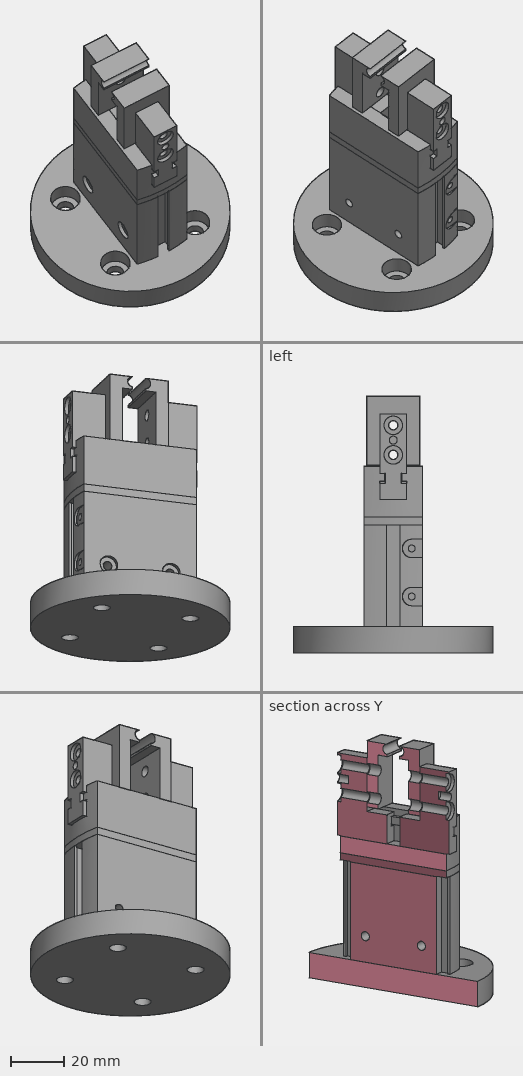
import cadquery as cq

total_height = 96.5
flange_thickness = 10.0
housing_top = 48.2
spacer_top = 51.05
guide_top = 70.2

flange_diameter = 75.0
flange_hole_spacing = 35.3
flange_hole_diameter = 6.4
flange_bore_diameter = 11.0
flange_bore_depth = 6.5

body_depth = 22.0
body_half_width = 22.5
body_side_bulge = 1.2

sensor_groove_mouth = 4.9
sensor_groove_width = 6.85
sensor_groove_lip = 1.1
sensor_groove_depth = 4.4
cross_hole_spacing = 24.9
cross_hole_height = 20.1
port_heights = (21.2, 39.3)
port_offset = 6.9
port_seat_diameter = 6.9
port_hole_diameter = 2.6
port_hole_depth = 4.8

screw_hole_diameter = 3.4
screw_bore_diameter = 6.9
screw_bore_depth = 1.4

jaw_outer_x = 24.9
jaw_inner_x = 2.8
jaw_width = 10.0
jaw_bottom = 57.6
jaw_top = 89.8
jaw_shelf_top = 68.9
neck_width = 6.2
lip_opening = 6.6
neck_bottom = 63.8
neck_top = 67.5
lip_clearance = 0.7
jaw_screw_heights = (74.4, 85.5)
jaw_pin_diameter = 3.0
jaw_pin_depth = 4.8

finger_outer_x = 11.7
finger_thickness = 5.0
finger_width = 20.0
finger_bottom = 70.5
finger_hole_diameter = 4.15
fingertip_x = 2.7
fingertip_bottom = 91.5
grip_groove_radius = 2.0
grip_groove_x = 2.5
grip_groove_height = 94.5


def x_cylinder(diameter, x_start, x_end, y, z):
    """Cylinder along X from x_start to x_end."""
    return (
        cq.Workplane("YZ", origin=(x_start, y, z))
        .circle(diameter / 2)
        .extrude(x_end - x_start)
    )


def x_bar(width, z_bottom, z_top, x_start, x_end):
    """Bar along X, centred on Y = 0."""
    return (
        cq.Workplane("XY")
        .box(x_end - x_start, width, z_top - z_bottom, centered=(False, True, False))
        .translate((x_start, 0, z_bottom))
    )


def body_block(z_bottom, z_top):
    """Block with flat front and back and gently bowed sides."""
    half_depth = body_depth / 2
    side_x = body_half_width + body_side_bulge
    return (
        cq.Workplane("XY", origin=(0, 0, z_bottom))
        .moveTo(-body_half_width, -half_depth)
        .lineTo(body_half_width, -half_depth)
        .threePointArc((side_x, 0), (body_half_width, half_depth))
        .lineTo(-body_half_width, half_depth)
        .threePointArc((-side_x, 0), (-body_half_width, -half_depth))
        .close()
        .extrude(z_top - z_bottom)
    )


def make_flange():
    """Round base with four counterbored mounting holes."""
    disc = (
        cq.Workplane("XY")
        .circle(flange_diameter / 2)
        .extrude(flange_thickness)
    )
    return (
        disc.faces(">Z").workplane()
        .rect(flange_hole_spacing, flange_hole_spacing, forConstruction=True)
        .vertices()
        .cboreHole(flange_hole_diameter, flange_bore_diameter, flange_bore_depth)
    )


def cut_sensor_grooves(housing):
    """Vertical undercut groove down the middle of each bowed side."""
    side_x = body_half_width + body_side_bulge
    lip_x = side_x - sensor_groove_lip
    floor_x = side_x - sensor_groove_depth
    mouth = x_bar(sensor_groove_mouth, flange_thickness, housing_top, lip_x, side_x)
    channel = x_bar(sensor_groove_width, flange_thickness, housing_top, floor_x, lip_x)
    groove = mouth.union(channel)
    return housing.cut(groove).cut(groove.mirror("YZ"))


def cut_cross_holes(housing):
    """Screw holes from front to back, counterbored at the front."""
    for x in (-cross_hole_spacing / 2, cross_hole_spacing / 2):
        front = cq.Workplane("XZ", origin=(x, -body_depth / 2, cross_hole_height))
        housing = housing.cut(front.circle(screw_hole_diameter / 2).extrude(-body_depth))
        housing = housing.cut(front.circle(screw_bore_diameter / 2).extrude(-screw_bore_depth))
    return housing


def cut_ports(housing):
    """Air ports in the -X side, each in a flat seat that runs out to the front face."""
    seat_x = -body_half_width
    outside_x = seat_x - body_side_bulge
    for z in port_heights:
        seat_round = x_cylinder(port_seat_diameter, outside_x, seat_x, -port_offset, z)
        seat_mouth = cq.Workplane("XY").box(
            body_side_bulge, body_depth / 2 - port_offset, port_seat_diameter,
            centered=(False, False, True),
        ).translate((outside_x, -body_depth / 2, z))
        hole = x_cylinder(port_hole_diameter, outside_x, seat_x + port_hole_depth, -port_offset, z)
        housing = housing.cut(seat_round).cut(seat_mouth).cut(hole)
    return housing


def make_housing():
    """Lower housing with sensor grooves, cross holes and air ports."""
    housing = body_block(flange_thickness, housing_top)
    housing = cut_sensor_grooves(housing)
    housing = cut_cross_holes(housing)
    return cut_ports(housing)


def make_spacer():
    """Thin plate between the housing and the jaw guide."""
    return body_block(housing_top, spacer_top)


def make_jaw_guide():
    """Upper block with the T-slot in which the jaws slide."""
    reach = body_half_width + body_side_bulge
    lip_bottom = neck_bottom + lip_clearance
    foot_slot = x_bar(jaw_width, jaw_bottom, lip_bottom, -reach, reach)
    neck_slot = x_bar(lip_opening, lip_bottom, neck_top, -reach, reach)
    head_slot = x_bar(jaw_width, neck_top, guide_top, -reach, reach)
    return body_block(spacer_top, guide_top).cut(foot_slot).cut(neck_slot).cut(head_slot)


def on_side(left_body, side):
    """The -X body itself for side -1, or its mirror image for side +1."""
    return left_body if side < 0 else left_body.mirror("YZ")


def make_jaw(side):
    """Sliding jaw: foot, neck, shelf and tall head with screw holes and a locating hole."""
    x_start, x_end = -jaw_outer_x, -finger_outer_x
    x_inner = -jaw_inner_x
    jaw = (
        x_bar(jaw_width, jaw_bottom, neck_bottom, x_start, x_inner)
        .union(x_bar(neck_width, neck_bottom, neck_top, x_start, x_inner))
        .union(x_bar(jaw_width, neck_top, jaw_shelf_top, x_start, x_inner))
        .union(x_bar(jaw_width, jaw_shelf_top, jaw_top, x_start, x_end))
    )
    for z in jaw_screw_heights:
        jaw = jaw.cut(x_cylinder(screw_hole_diameter, x_start, x_end, 0, z))
        jaw = jaw.cut(x_cylinder(screw_bore_diameter, x_start, x_start + screw_bore_depth, 0, z))
    pin_height = sum(jaw_screw_heights) / 2
    jaw = jaw.cut(x_cylinder(jaw_pin_diameter, x_start, x_start + jaw_pin_depth, 0, pin_height))
    return on_side(jaw, side)


def make_finger(side):
    """L-shaped finger with a round grip groove along its tip."""
    inner_x = finger_outer_x - finger_thickness
    finger = (
        cq.Workplane("XZ")
        .moveTo(-finger_outer_x, finger_bottom)
        .lineTo(-inner_x, finger_bottom)
        .lineTo(-inner_x, fingertip_bottom)
        .lineTo(-fingertip_x, fingertip_bottom)
        .lineTo(-fingertip_x, total_height)
        .lineTo(-finger_outer_x, total_height)
        .close()
        .extrude(finger_width / 2, both=True)
    )
    grip_groove = (
        cq.Workplane("XZ", origin=(-grip_groove_x, 0, grip_groove_height))
        .circle(grip_groove_radius)
        .extrude(finger_width / 2, both=True)
    )
    finger = finger.cut(grip_groove)
    for z in jaw_screw_heights:
        finger = finger.cut(x_cylinder(finger_hole_diameter, -finger_outer_x, -inner_x, 0, z))
    return on_side(finger, side)


flange = make_flange()
housing = make_housing()
spacer = make_spacer()
jaw_guide = make_jaw_guide()
jaws = [make_jaw(side) for side in (-1, 1)]
fingers = [make_finger(side) for side in (-1, 1)]

result = cq.Compound.makeCompound([
    flange.val(),
    housing.val(),
    spacer.val(),
    jaw_guide.val(),
    *[jaw.val() for jaw in jaws],
    *[finger.val() for finger in fingers],
])